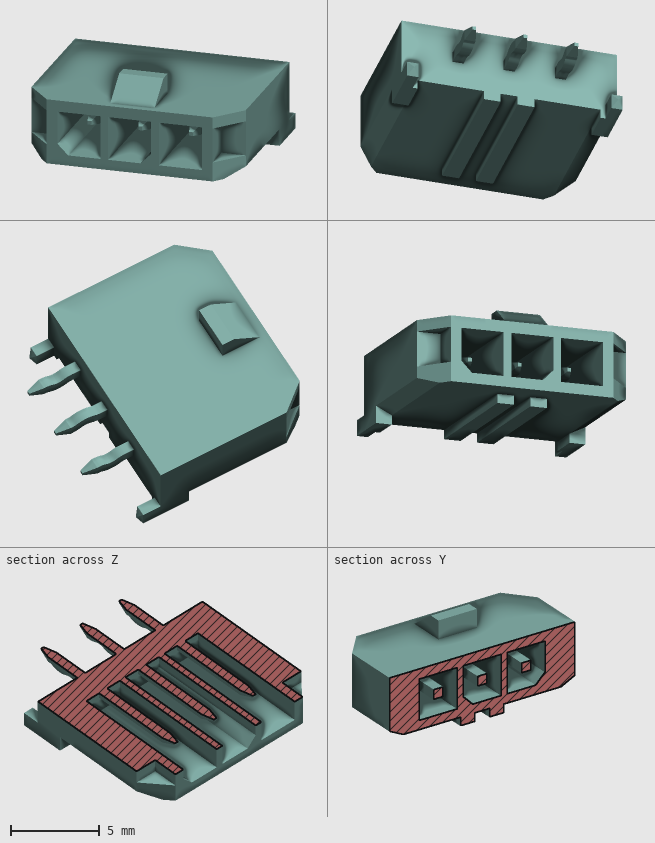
import cadquery as cq
import math


width = 12.65
depth = 9.86
height = 3.85
half_width = width / 2
corner_x = 1.43
corner_y = 1.67

window_floor = 1.14
top_wall = 0.67

bevel_width = 0.95
bevel_height = 0.47
foot_front = 8.02

pitch = 3.0
cavity_width = 2.54
cavity_floor = 0.61
cavity_depth = foot_front
key_chamfer = 0.63

foot_drop = 0.54
leg_width = 0.67
leg_height = 0.92
leg_end = 11.0
leg_point = 0.29
rib_width = 1.0
rib_centre = 1.0
rib_front = 1.57

latch_width = 2.62
latch_height = 1.19
latch_back = 2.94
latch_crest = 2.18
latch_front = 0.54

pin_size = 0.64
pin_z = 1.95
pin_tip_size = 0.22
pin_taper = 0.84
pin_front = 1.96
pin_end = 13.08

kink_rise = 0.18
long_half = (0.89, 1.19)
short_half = (0.72, 0.98)
centre_kink_y = 11.24
side_kink_y = 11.33


def box(x0, x1, y0, y1, z0, z1):
    """Block between two opposite corners."""
    return cq.Workplane("XY").box(x1 - x0, y1 - y0, z1 - z0, centered=False).translate((x0, y0, z0))


def along_x(profile, length):
    """Extrude a YZ profile by length, centred on X = 0."""
    return profile.extrude(length / 2, both=True)


def both_sides(shape):
    """Join a shape with its mirror image across X = 0."""
    return shape.union(shape.mirror("YZ"))


def make_housing():
    shell = box(-half_width, half_width, 0, depth, 0, height)
    corner = [
        (-half_width, 0),
        (-half_width + corner_x, 0),
        (-half_width, corner_y),
    ]
    shell = shell.cut(both_sides(cq.Workplane("XY").polyline(corner).close().extrude(height)))
    window_height = height - top_wall - window_floor
    window = box(-half_width, -half_width + corner_x, 0, corner_y, 0, window_height)
    shell = shell.cut(both_sides(window.translate((0, 0, window_floor))))
    bevel = [
        (-half_width, 0),
        (-half_width + bevel_width, 0),
        (-half_width, bevel_height),
    ]
    bevel_cut = cq.Workplane("XZ").polyline(bevel).close().extrude(-foot_front)
    return shell.cut(both_sides(bevel_cut))


def make_cavity(x, key_side=None):
    """Blind cavity; key_side selects the lower long edge chamfered as a polarising key."""
    cavity = box(
        x - cavity_width / 2, x + cavity_width / 2,
        0, cavity_depth,
        cavity_floor, height - top_wall,
    )
    if key_side:
        cavity = cavity.edges("|Y").edges("<Z").edges(key_side).chamfer(key_chamfer)
    return cavity


def make_leg():
    """Left rear foot with a leg that runs behind the housing and ends in a four-sided point."""
    outer = -half_width
    inner = outer + leg_width
    leg_top = leg_height - foot_drop
    tip_y = leg_end + leg_point
    foot = box(outer, outer + bevel_width, foot_front, depth, -foot_drop, 0)
    plan = [
        (outer, foot_front),
        (inner, foot_front),
        (inner, leg_end),
        (outer + leg_width / 2, tip_y),
        (outer, leg_end),
    ]
    elevation = [
        (foot_front, -foot_drop),
        (leg_end, -foot_drop),
        (tip_y, leg_top - leg_height / 2),
        (leg_end, leg_top),
        (foot_front, leg_top),
    ]
    leg = cq.Workplane("XY").polyline(plan).close().extrude(leg_height, both=True)
    leg = leg.intersect(along_x(cq.Workplane("YZ").polyline(elevation).close(), 2 * width))
    return foot.union(leg)


def make_rib():
    x0 = -rib_centre - rib_width / 2
    return box(x0, x0 + rib_width, rib_front, depth, -foot_drop, 0)


def make_latch():
    profile = [
        (latch_front, height),
        (latch_crest, height + latch_height),
        (latch_back, height + latch_height),
        (latch_back, height),
    ]
    return along_x(cq.Workplane("YZ").polyline(profile).close(), latch_width)


def half_kink(crest_y, end, half, side, bend):
    """Points, from the crest outwards, of the two arcs on one face of half a kink.

    end is +1 for the rear half and -1 for the front half; side is +1 for the upper face
    and -1 for the lower one; bend is +1 for a kink that rises and -1 for one that dips.
    Each arc has a start, a middle and an end point, and the two arcs meet tangentially.
    """
    length, crest_radius = half
    sweep = 2 * math.atan(kink_rise / length)
    blend_radius = length / math.sin(sweep) - crest_radius
    offset = side * bend * pin_size / 2
    crest = crest_radius + offset
    blend = blend_radius - offset

    def crest_point(angle):
        rise = kink_rise - crest_radius + crest * math.cos(angle)
        return crest_y + end * crest * math.sin(angle), pin_z + bend * rise

    def blend_point(angle):
        rise = blend_radius - blend * math.cos(angle)
        return crest_y + end * (length - blend * math.sin(angle)), pin_z + bend * rise

    return [
        crest_point(0),
        crest_point(sweep / 2),
        crest_point(sweep),
        blend_point(sweep / 2),
        blend_point(0),
    ]


def kink_surface(crest_y, rear_half, side, bend):
    """Arc points, front to rear, on one face of a whole kink."""
    front_points = half_kink(crest_y, -1, long_half, side, bend)
    rear_points = half_kink(crest_y, 1, rear_half, side, bend)
    return front_points[::-1] + rear_points[1:]


def add_arcs(profile, points):
    """Append arcs through each following pair of points, starting from the first one."""
    for middle, end in zip(points[1::2], points[2::2]):
        profile = profile.threePointArc(middle, end)
    return profile


def pin_tip(x, base_y, tip_y):
    """Square frustum from the full pin section to its blunt end."""
    frustum = cq.Workplane("XZ").rect(pin_size, pin_size)
    frustum = frustum.workplane(offset=base_y - tip_y).rect(pin_tip_size, pin_tip_size).loft()
    return frustum.translate((x, base_y, pin_z))


def make_pin(x, kink_y, rear_half, bend):
    front = pin_front + pin_taper
    rear = pin_end - pin_taper
    top = pin_z + pin_size / 2
    bottom = pin_z - pin_size / 2
    upper = kink_surface(kink_y, rear_half, 1, bend)
    lower = kink_surface(kink_y, rear_half, -1, bend)[::-1]
    profile = cq.Workplane("YZ").moveTo(front, top).lineTo(*upper[0])
    profile = add_arcs(profile, upper).lineTo(rear, top).lineTo(rear, bottom).lineTo(*lower[0])
    profile = add_arcs(profile, lower).lineTo(front, bottom).close()
    shaft = along_x(profile, pin_size).translate((x, 0, 0))
    return shaft.union(pin_tip(x, front, pin_front)).union(pin_tip(x, rear, pin_end))


result = make_housing()
result = result.cut(make_cavity(-pitch, "<X")).cut(make_cavity(0, ">X")).cut(make_cavity(pitch))
result = result.union(both_sides(make_leg())).union(both_sides(make_rib())).union(make_latch())
result = result.union(make_pin(0, centre_kink_y, long_half, 1))
for x in (-pitch, pitch):
    result = result.union(make_pin(x, side_kink_y, short_half, -1))